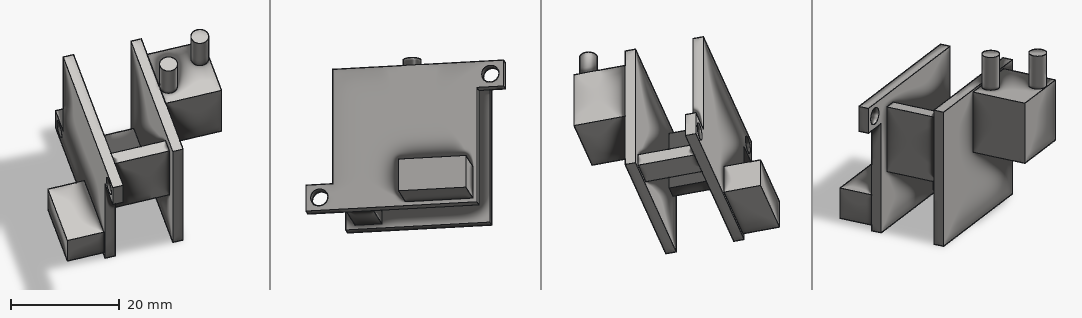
import cadquery as cq

BOARD_SIZE = 27.0
BOARD_THICKNESS = 2.0
LUG_SIZE = 5.0
LUG_HOLE_DIAMETER = 3.2

BOARD_GAP = 11.0

CONNECTOR_WIDTH = 12.6
CONNECTOR_DEPTH = 7.0
CONNECTOR_HEIGHT = 6.1
CONNECTOR_LEFT = 13.63
CONNECTOR_BOTTOM = 0.75

HEADER_ROW = 2.5
LOWER_HEADER_WIDTH = 2 * HEADER_ROW
LOWER_HEADER_LEFT = 1.8
LOWER_HEADER_BOTTOM = 0.8
UPPER_HEADER_HEIGHT = 13.0
UPPER_HEADER_LEFT = 22.3
UPPER_HEADER_BOTTOM = 11.5

SENSOR_WIDTH = 12.0
SENSOR_DEPTH = 10.8
SENSOR_HEIGHT = 12.1
SENSOR_LEFT = 3.48
SENSOR_BOTTOM = 14.45

PORT_DIAMETER = 3.3
PORT_TOP = 33.14
PORT_SPACING_X = 4.57
PORT_SPACING_Y = 7.36
REAR_PORT_X = 7.2

MAIN_BOARD_BACK = BOARD_THICKNESS
SENSOR_BOARD_FRONT = MAIN_BOARD_BACK + BOARD_GAP
SENSOR_BOARD_BACK = SENSOR_BOARD_FRONT + BOARD_THICKNESS


def block(left, front, bottom, width, depth, height):
    """Box placed by its left, front, bottom corner."""
    return cq.Workplane("XY").box(width, depth, height, centered=False).translate((left, front, bottom))


def header(left, bottom, width, height):
    """Header block that fills the gap between the two boards."""
    return block(left, MAIN_BOARD_BACK, bottom, width, BOARD_GAP, height)


def board(front):
    """Square board plate with its front face at the given Y."""
    return block(0, front, 0, BOARD_SIZE, BOARD_THICKNESS, BOARD_SIZE)


def lug(left, bottom):
    """Square mounting lug with a through hole at its centre."""
    plate = block(left, 0, bottom, LUG_SIZE, BOARD_THICKNESS, LUG_SIZE)
    return plate.faces("<Y").workplane(centerOption="CenterOfBoundBox").hole(LUG_HOLE_DIAMETER)


def make_main_board():
    """Board with two lugs, the connector and both headers."""
    connector = block(
        CONNECTOR_LEFT, -CONNECTOR_DEPTH, CONNECTOR_BOTTOM,
        CONNECTOR_WIDTH, CONNECTOR_DEPTH, CONNECTOR_HEIGHT,
    )
    lower_header = header(LOWER_HEADER_LEFT, LOWER_HEADER_BOTTOM, LOWER_HEADER_WIDTH, HEADER_ROW)
    upper_header = header(UPPER_HEADER_LEFT, UPPER_HEADER_BOTTOM, HEADER_ROW, UPPER_HEADER_HEIGHT)
    lower_left_lug = lug(-LUG_SIZE, 0)
    upper_right_lug = lug(BOARD_SIZE, BOARD_SIZE - LUG_SIZE)

    body = board(0)
    for feature in (lower_left_lug, upper_right_lug, connector, lower_header, upper_header):
        body = body.union(feature)
    return body.clean()


def make_sensor_board():
    """Plain square board behind the headers."""
    return board(SENSOR_BOARD_FRONT)


def make_pressure_sensor():
    """Sensor block with two round ports, staggered about the middle of its depth."""
    sensor_top = SENSOR_BOTTOM + SENSOR_HEIGHT
    middle_y = SENSOR_BOARD_BACK + SENSOR_DEPTH / 2
    port_centres = [
        (REAR_PORT_X, middle_y + PORT_SPACING_Y / 2),
        (REAR_PORT_X + PORT_SPACING_X, middle_y - PORT_SPACING_Y / 2),
    ]
    ports = (
        cq.Workplane("XY", origin=(0, 0, sensor_top))
        .pushPoints(port_centres)
        .circle(PORT_DIAMETER / 2)
        .extrude(PORT_TOP - sensor_top)
    )
    body = block(
        SENSOR_LEFT, SENSOR_BOARD_BACK, SENSOR_BOTTOM,
        SENSOR_WIDTH, SENSOR_DEPTH, SENSOR_HEIGHT,
    )
    return body.union(ports)


main_board = make_main_board()
sensor_board = make_sensor_board()
pressure_sensor = make_pressure_sensor()

result = cq.Compound.makeCompound([
    main_board.val(),
    sensor_board.val(),
    pressure_sensor.val(),
])